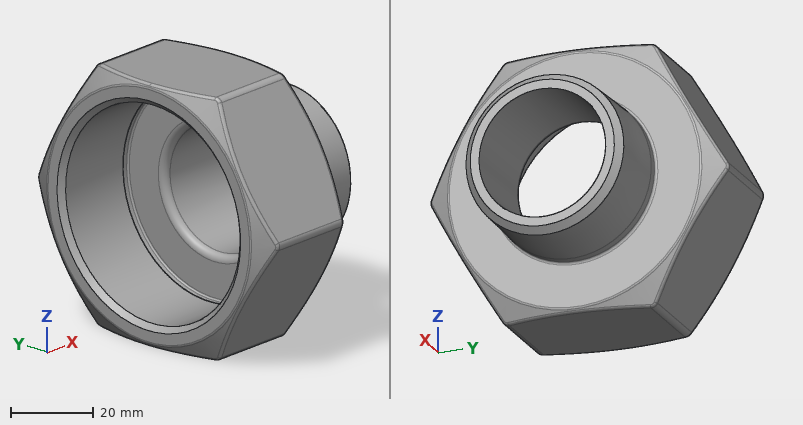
import cadquery as cq
import math

total_length = 53.0
hex_length = 31.0

hex_sides = 6
across_flats = 68.0
hex_corner_radius = 2.0
edge_radius = 1.0
face_diameter = 66.0
end_bevel_angle = 30.0

spigot_diameter = 42.3
spigot_straight_end = 33.9
spigot_taper = 1 / 16
spigot_chamfer = 1.8
root_radius = 0.6

socket_diameter = 56.6
socket_mouth_diameter = 59.6
socket_depth = 24.6
relief_start = 22.75
relief_diameter = 56.9
floor_fillet_radius = 0.5

bore_diameter = 33.0
bore_entry_radius = 2.0


def revolve_about_x(profile):
    """Turn a closed (x, radius) profile about the X axis."""
    return profile.close().revolve(360, (0, 0, 0), (1, 0, 0))


def hex_body():
    """Rounded hexagon, bevelled at both ends by a cone, with softened edges."""
    across_corners = across_flats / math.cos(math.pi / hex_sides)
    prism = (
        cq.Workplane("YZ")
        .polygon(hex_sides, across_corners)
        .extrude(hex_length)
        .edges("|X")
        .fillet(hex_corner_radius)
    )
    face_radius = face_diameter / 2
    rise = across_corners / 2 - face_radius
    bevel_length = rise * math.tan(math.radians(end_bevel_angle))
    envelope = revolve_about_x(
        cq.Workplane("XZ")
        .lineTo(0, face_radius)
        .lineTo(bevel_length, face_radius + rise)
        .lineTo(hex_length - bevel_length, face_radius + rise)
        .lineTo(hex_length, face_radius)
        .lineTo(hex_length, 0)
    )
    bevelled = prism.intersect(envelope)
    return bevelled.edges("not(|X)").fillet(edge_radius)


def spigot():
    """Tapered male end, started inside the hexagon so the two join."""
    straight_radius = spigot_diameter / 2
    chamfer_start = total_length - spigot_chamfer
    taper_length = chamfer_start - spigot_straight_end
    tip_radius = straight_radius - taper_length * spigot_taper / 2
    root_end = hex_length + root_radius
    return revolve_about_x(
        cq.Workplane("XZ")
        .moveTo(hex_length / 2, 0)
        .lineTo(hex_length / 2, straight_radius + root_radius)
        .lineTo(hex_length, straight_radius + root_radius)
        .radiusArc((root_end, straight_radius), -root_radius)
        .lineTo(spigot_straight_end, straight_radius)
        .lineTo(chamfer_start, tip_radius)
        .lineTo(total_length, tip_radius - spigot_chamfer)
        .lineTo(total_length, 0)
    )


def cavity():
    """Socket, relief and through bore as one turned volume to remove."""
    mouth_chamfer = (socket_mouth_diameter - socket_diameter) / 2
    relief_radius = relief_diameter / 2
    bore_radius = bore_diameter / 2
    return revolve_about_x(
        cq.Workplane("XZ")
        .lineTo(0, socket_mouth_diameter / 2)
        .lineTo(mouth_chamfer, socket_diameter / 2)
        .lineTo(relief_start, socket_diameter / 2)
        .lineTo(relief_start, relief_radius)
        .lineTo(socket_depth - floor_fillet_radius, relief_radius)
        .radiusArc((socket_depth, relief_radius - floor_fillet_radius), floor_fillet_radius)
        .lineTo(socket_depth, bore_radius + bore_entry_radius)
        .radiusArc((socket_depth + bore_entry_radius, bore_radius), -bore_entry_radius)
        .lineTo(total_length, bore_radius)
        .lineTo(total_length, 0)
    )


result = hex_body().union(spigot()).cut(cavity())